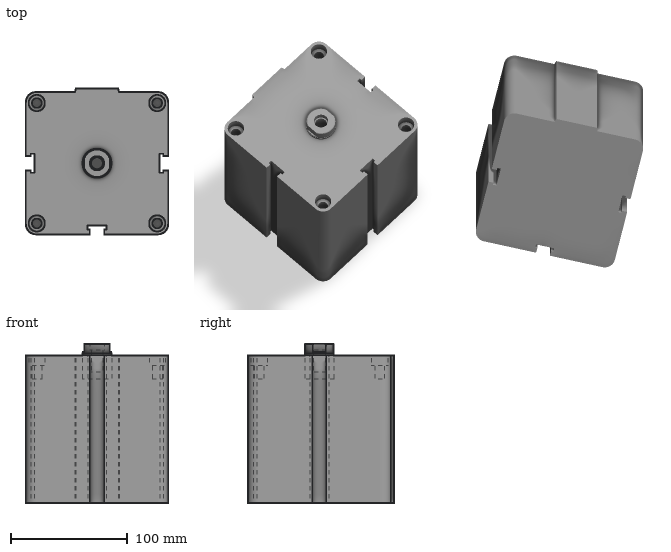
import cadquery as cq

block_width = 122.0
block_height = 126.5
corner_radius = 9.0

rail_height = 3.0
rail_base_width = 38.0
rail_top_width = 36.0

slot_neck_width = 12.2
slot_wide_width = 16.0
slot_lip = 4.5
slot_depth = 7.5

hole_spacing = 103.0
hole_diameter = 8.38
hole_depth = 20.0
counterbore_diameter = 14.0
counterbore_depth = 8.5

rod_diameter = 25.0
rod_collar_height = 2.0
rod_insertion = 20.0
rod_tip_diameter = 24.5
rod_reach = 10.0
rod_tip_chamfer = 0.5
flats_width = 22.0
flats_start = 3.0

bore_diameter = 10.1
bore_depth = 24.0
bore_mouth_diameter = 12.3
bore_mouth_depth = 5.0


def make_block():
    return (
        cq.Workplane("XY")
        .rect(block_width, block_width)
        .extrude(block_height)
        .edges("|Z")
        .fillet(corner_radius)
    )


def make_rail():
    base_y = block_width / 2
    top_y = base_y + rail_height
    root_y = base_y - slot_depth
    return (
        cq.Workplane("XY")
        .moveTo(-rail_base_width / 2, root_y)
        .lineTo(-rail_base_width / 2, base_y)
        .lineTo(-rail_top_width / 2, top_y)
        .lineTo(rail_top_width / 2, top_y)
        .lineTo(rail_base_width / 2, base_y)
        .lineTo(rail_base_width / 2, root_y)
        .close()
        .extrude(block_height)
    )


def make_slot_cutter():
    """T-slot cutter for the -Y side."""
    face_y = -block_width / 2
    centered = (True, False, False)
    neck = (
        cq.Workplane("XY")
        .box(slot_neck_width, slot_depth, block_height, centered=centered)
        .translate((0, face_y, 0))
    )
    wide = (
        cq.Workplane("XY")
        .box(slot_wide_width, slot_depth - slot_lip, block_height, centered=centered)
        .translate((0, face_y + slot_lip, 0))
    )
    return neck.union(wide)


def make_housing():
    housing = make_block().union(make_rail())

    slot_cutter = make_slot_cutter()
    for angle in (-90, 0, 90):
        housing = housing.cut(slot_cutter.rotate((0, 0, 0), (0, 0, 1), angle))

    housing = (
        housing.faces(">Z")
        .workplane(origin=(0, 0, block_height))
        .rect(hole_spacing, hole_spacing, forConstruction=True)
        .vertices()
        .cboreHole(hole_diameter, counterbore_diameter, counterbore_depth, hole_depth)
    )

    return (
        housing.faces(">Z")
        .workplane(origin=(0, 0, block_height))
        .hole(rod_diameter, rod_insertion)
    )


def make_rod():
    collar_top = block_height + rod_collar_height
    rod_top = block_height + rod_reach
    shaft = (
        cq.Workplane("XY", origin=(0, 0, block_height - rod_insertion))
        .circle(rod_diameter / 2)
        .extrude(rod_insertion + rod_collar_height)
    )
    tip = (
        cq.Workplane("XY", origin=(0, 0, collar_top))
        .circle(rod_tip_diameter / 2)
        .extrude(rod_top - collar_top)
        .faces(">Z")
        .chamfer(rod_tip_chamfer)
    )
    rod = shaft.union(tip)

    flats_cutter = (
        cq.Workplane("XY", origin=(0, 0, block_height + flats_start))
        .rect(2 * rod_diameter, 2 * rod_diameter)
        .rect(flats_width, 2 * rod_diameter)
        .extrude(rod_reach - flats_start)
    )
    rod = rod.cut(flats_cutter)

    return (
        rod.faces(">Z")
        .workplane(origin=(0, 0, rod_top))
        .cboreHole(bore_diameter, bore_mouth_diameter, bore_mouth_depth, bore_depth)
    )


housing = make_housing()
rod = make_rod()

result = cq.Compound.makeCompound([housing.val(), rod.val()])